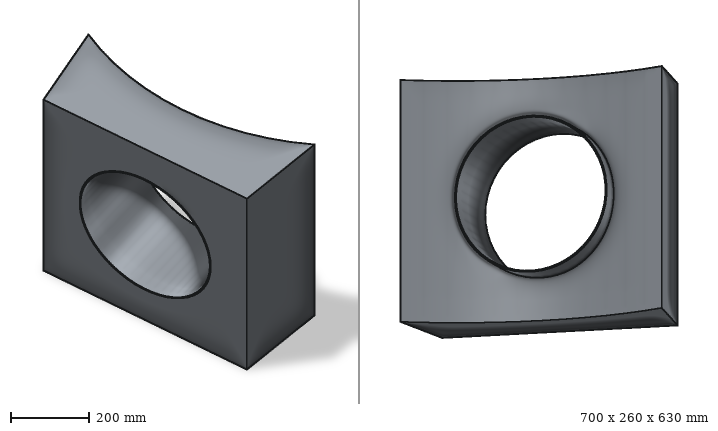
import cadquery as cq

height = 630.0
front_width = 630.0
back_width = 700.0
corner_depth = 257.5
middle_depth = 170.0

sleeve_length = 260.0
sleeve_outer_diameter = 407.5
sleeve_inner_diameter = 400.0


def make_block():
    """Tapered block with a concave back and a bore that fits the sleeve."""
    blank = (
        cq.Workplane("XY")
        .moveTo(-front_width / 2, 0)
        .lineTo(front_width / 2, 0)
        .lineTo(back_width / 2, corner_depth)
        .threePointArc((0, middle_depth), (-back_width / 2, corner_depth))
        .close()
        .extrude(height / 2, both=True)
    )
    bore = along_y().circle(sleeve_outer_diameter / 2).extrude(sleeve_length)
    return blank.cut(bore)


def make_sleeve():
    """Thin tube, flush with the front face and standing out of the concave back."""
    return (
        along_y()
        .circle(sleeve_outer_diameter / 2)
        .circle(sleeve_inner_diameter / 2)
        .extrude(sleeve_length)
    )


def along_y():
    """Workplane on the front face that extrudes toward +Y."""
    return cq.Workplane("XZ").workplane(invert=True)


block = make_block()
sleeve = make_sleeve()

result = cq.Compound.makeCompound([block.val(), sleeve.val()])